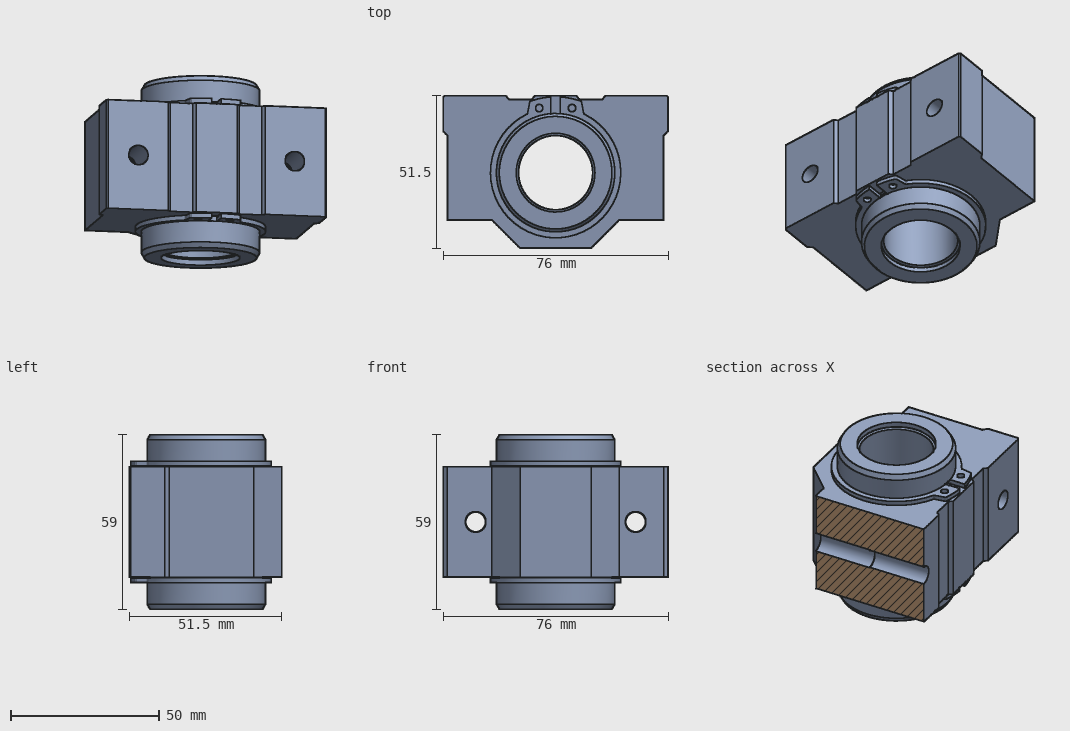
import cadquery as cq
import math

bearing_od = 40.0
bearing_length = 59.0
bearing_bore = 25.0
end_chamfer_radial = 1.0
end_chamfer_axial = 1.75
lip_bore = 26.6
lip_depth = 1.9
undercut_bore = 28.2
undercut_width = 0.4
groove_diameter = 38.0
groove_width = 1.85
groove_span = 41.0

ring_thickness = 1.6
ring_od = 44.0
ear_radius = 25.6
ring_gap = 3.2
ear_tip_x = 8.7
ear_root_x = 9.5
ear_tip_fillet = 0.6
ear_root_fillet = 0.5
plier_hole_diameter = 2.5
plier_hole_x = 5.54
plier_hole_y = 21.8

housing_length = groove_span - 2 * groove_width
back_y = 26.0
front_y = -25.5
shoulder_y = -16.0
flange_half_width = 38.0
body_half_width = 36.5
flange_edge_y = 14.0
nose_half_width = 12.0
corner_chamfer = 0.5
slot_centre_x = 11.9
slot_width = 9.75
slot_depth = 1.25
slot_side_inset = 1.0
bolt_spacing = 54.0
clearance_diameter = 7.0
tap_core_diameter = 6.65
clearance_depth = (back_y - shoulder_y) / 2


def make_housing():
    """Block with a tapered nose, two back slots, the bearing bore and two bolt holes."""
    step = flange_half_width - body_half_width
    nose_root_x = nose_half_width + (shoulder_y - front_y)
    right_side = [
        (nose_half_width, front_y),
        (nose_root_x, shoulder_y),
        (body_half_width, shoulder_y),
        (body_half_width, flange_edge_y - step),
        (flange_half_width, flange_edge_y),
        (flange_half_width, back_y - corner_chamfer),
        (flange_half_width - corner_chamfer, back_y),
    ]
    left_side = [(-x, y) for x, y in reversed(right_side)]
    housing = (
        cq.Workplane("XY")
        .polyline(right_side + left_side)
        .close()
        .extrude(housing_length / 2, both=True)
    )

    for side in (-1, 1):
        centre = side * slot_centre_x
        half_top = slot_width / 2
        half_floor = half_top - slot_side_inset
        slot = (
            cq.Workplane("XY")
            .polyline([
                (centre - half_top, back_y),
                (centre - half_floor, back_y - slot_depth),
                (centre + half_floor, back_y - slot_depth),
                (centre + half_top, back_y),
            ])
            .close()
            .extrude(housing_length / 2, both=True)
        )
        housing = housing.cut(slot)

    housing = housing.cut(
        cq.Workplane("XY").circle(bearing_od / 2).extrude(housing_length / 2, both=True)
    )

    flange_depth = back_y - shoulder_y
    for side in (-1, 1):
        hole = (
            cq.Workplane("XZ", origin=(side * bolt_spacing / 2, shoulder_y, 0))
            .circle(clearance_diameter / 2)
            .extrude(-clearance_depth)
            .circle(tap_core_diameter / 2)
            .extrude(-flange_depth)
        )
        housing = housing.cut(hole)
    return housing


def make_bearing():
    """Bearing sleeve revolved about Z, with two ring grooves and recessed end lips."""
    outer_r = bearing_od / 2
    bore_r = bearing_bore / 2
    half_length = bearing_length / 2
    groove_outer_z = groove_span / 2
    groove_inner_z = groove_outer_z - groove_width
    lip_z = half_length - lip_depth
    ledge_z = lip_z - undercut_width
    upper_half = [
        (outer_r, groove_inner_z),
        (groove_diameter / 2, groove_inner_z),
        (groove_diameter / 2, groove_outer_z),
        (outer_r, groove_outer_z),
        (outer_r, half_length - end_chamfer_axial),
        (outer_r - end_chamfer_radial, half_length),
        (lip_bore / 2, half_length),
        (lip_bore / 2, lip_z),
        (undercut_bore / 2, lip_z),
        (undercut_bore / 2, ledge_z),
        (bore_r, ledge_z),
    ]
    lower_half = [(r, -z) for r, z in reversed(upper_half)]
    return (
        cq.Workplane("XZ")
        .polyline(upper_half + lower_half)
        .close()
        .revolve(360, (0, 0), (0, 1))
    )


def make_ring(bottom_z):
    """Open retaining ring whose two eared ends face +Y."""
    ear_root = (ear_root_x, math.sqrt((ring_od / 2) ** 2 - ear_root_x ** 2))
    ear_tip = (ear_tip_x, math.sqrt(ear_radius ** 2 - ear_tip_x ** 2))
    ring = (
        cq.Workplane("XY")
        .moveTo(-ear_root[0], ear_root[1])
        .lineTo(-ear_tip[0], ear_tip[1])
        .threePointArc((0, ear_radius), ear_tip)
        .lineTo(*ear_root)
        .threePointArc((0, -ring_od / 2), (-ear_root[0], ear_root[1]))
        .close()
        .extrude(ring_thickness)
    )

    for corner, radius in ((ear_tip, ear_tip_fillet), (ear_root, ear_root_fillet)):
        for side in (-1, 1):
            corner_edge = cq.selectors.NearestToPointSelector(
                (side * corner[0], corner[1], ring_thickness / 2)
            )
            ring = ring.edges("|Z").edges(corner_edge).fillet(radius)

    bore = cq.Workplane("XY").circle(groove_diameter / 2).extrude(ring_thickness)
    gap = cq.Workplane("XY").center(0, ear_radius).rect(ring_gap, ear_radius).extrude(ring_thickness)
    plier_holes = (
        cq.Workplane("XY")
        .pushPoints([(-plier_hole_x, plier_hole_y), (plier_hole_x, plier_hole_y)])
        .circle(plier_hole_diameter / 2)
        .extrude(ring_thickness)
    )
    return ring.cut(bore).cut(gap).cut(plier_holes).translate((0, 0, bottom_z))


housing = make_housing()
bearing = make_bearing()

upper_ring_z = groove_span / 2 - ring_thickness
lower_ring_z = -groove_span / 2
rings = [make_ring(z) for z in (lower_ring_z, upper_ring_z)]

result = cq.Compound.makeCompound([housing.val(), bearing.val(), *[ring.val() for ring in rings]])